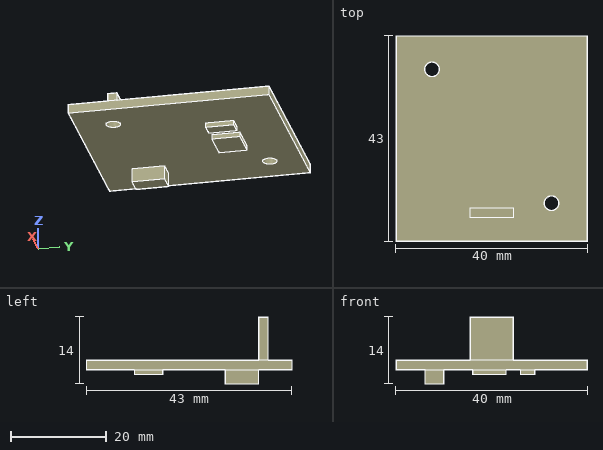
import cadquery as cq

PLATE_WIDTH = 40.0
PLATE_LENGTH = 43.0
PLATE_THICKNESS = 2.0

HOLE_DIAMETER = 3.0
HOLE_CENTERS = [(7.5, 36.0), (32.5, 8.0)]

TAB_WIDTH = 9.0
TAB_THICKNESS = 2.0
TAB_HEIGHT = 9.0
TAB_LEFT = (PLATE_WIDTH - TAB_WIDTH) / 2
TAB_FRONT = 5.0

DEEP_BLOCK_WIDTH = 4.0
DEEP_BLOCK_LENGTH = 7.0
DEEP_BLOCK_HEIGHT = 3.0
DEEP_BLOCK_LEFT = 6.0
DEEP_BLOCK_FRONT = TAB_FRONT + TAB_THICKNESS

SHALLOW_BLOCK_LENGTH = 6.0
SHALLOW_BLOCK_HEIGHT = 1.0
SHALLOW_BLOCK_FRONT = 27.0
WIDE_BLOCK_WIDTH = 7.0
WIDE_BLOCK_LEFT = 16.0
NARROW_BLOCK_WIDTH = 3.0
NARROW_BLOCK_LEFT = 26.0


def block(left, front, bottom, width, length, height):
    """Box placed by its left, front and bottom sides."""
    return cq.Workplane("XY").box(width, length, height, centered=False).translate((left, front, bottom))


def drilled_plate():
    """Flat plate with its through holes."""
    plate = block(0, 0, 0, PLATE_WIDTH, PLATE_LENGTH, PLATE_THICKNESS)
    holes = cq.Workplane("XY").pushPoints(HOLE_CENTERS).circle(HOLE_DIAMETER / 2).extrude(PLATE_THICKNESS)
    return plate.cut(holes)


def upright_tab():
    """Thin tab standing on the top face."""
    return block(TAB_LEFT, TAB_FRONT, PLATE_THICKNESS, TAB_WIDTH, TAB_THICKNESS, TAB_HEIGHT)


def hanging_block(left, front, width, length, height):
    """Block hanging down from the underside of the plate."""
    return block(left, front, -height, width, length, height)


result = drilled_plate().union(upright_tab())
result = result.union(
    hanging_block(DEEP_BLOCK_LEFT, DEEP_BLOCK_FRONT, DEEP_BLOCK_WIDTH, DEEP_BLOCK_LENGTH, DEEP_BLOCK_HEIGHT)
)
for left, width in [(WIDE_BLOCK_LEFT, WIDE_BLOCK_WIDTH), (NARROW_BLOCK_LEFT, NARROW_BLOCK_WIDTH)]:
    result = result.union(
        hanging_block(left, SHALLOW_BLOCK_FRONT, width, SHALLOW_BLOCK_LENGTH, SHALLOW_BLOCK_HEIGHT)
    )